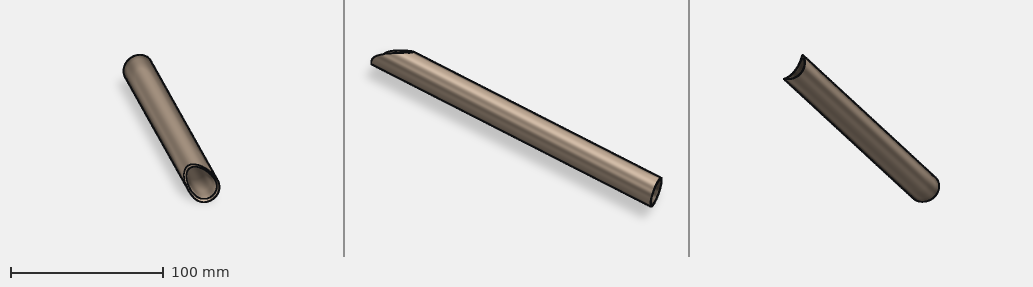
import cadquery as cq
import math

outer_radius = 10.0
wall = 1.5
heading = -11.9

start_skew = 8.2

saddle_radius = 12.3
saddle_distance = 218.0
saddle_tilt = 47.6
saddle_roll = -42.4

overhang = 10.5
tool_size = 125.4
raw_length = saddle_distance + 2 * overhang


def raw_tube():
    """Hollow tube along +X, long enough to trim at both ends."""
    return (
        cq.Workplane("YZ", origin=(-overhang, 0, 0))
        .circle(outer_radius)
        .circle(outer_radius - wall)
        .extrude(raw_length)
    )


def start_cutter():
    """Block that removes everything before the skewed start plane."""
    block = cq.Workplane("XY").box(tool_size, tool_size, tool_size, centered=(False, True, True))
    return block.translate((-tool_size, 0, 0)).rotate((0, 0, 0), (0, 0, 1), start_skew)


def saddle_cutter():
    """Mating cylinder, swept away from the tube so nothing is left beyond it."""
    tilt = math.radians(saddle_tilt)
    roll = math.radians(saddle_roll)
    mating_axis = cq.Vector(
        math.sin(tilt),
        math.cos(tilt) * math.cos(roll),
        math.cos(tilt) * math.sin(roll),
    )
    outward = cq.Vector(
        math.cos(tilt),
        -math.sin(tilt) * math.cos(roll),
        -math.sin(tilt) * math.sin(roll),
    )
    centre = cq.Vector(saddle_distance, 0, 0)
    plane = cq.Plane(origin=centre, xDir=outward, normal=mating_axis)
    return (
        cq.Workplane(plane)
        .moveTo(0, saddle_radius)
        .threePointArc((-saddle_radius, 0), (0, -saddle_radius))
        .lineTo(tool_size, -saddle_radius)
        .lineTo(tool_size, saddle_radius)
        .close()
        .extrude(tool_size / 2, both=True)
    )


trimmed_tube = raw_tube().cut(start_cutter()).cut(saddle_cutter())
result = trimmed_tube.rotate((0, 0, 0), (0, 0, 1), heading)